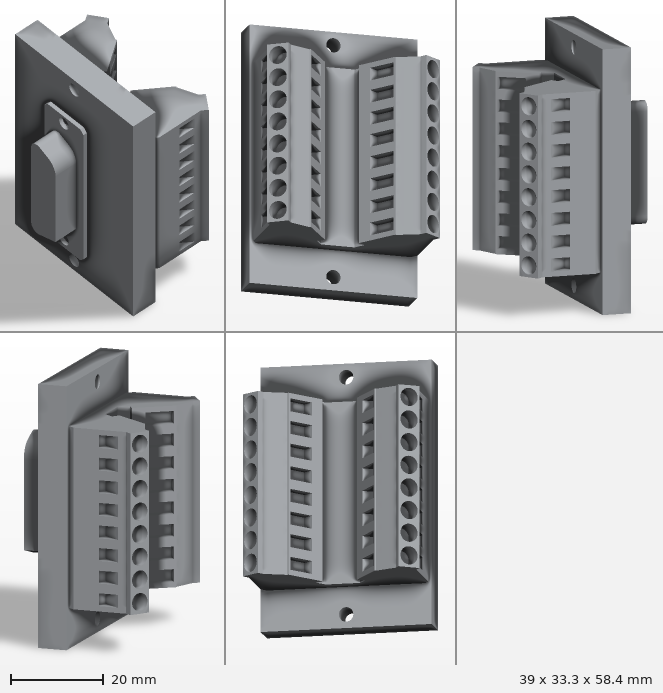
import math

import cadquery as cq


PLATE_WIDTH = 37.8
PLATE_DEPTH = 6.5
PLATE_HEIGHT = 58.4
MOUNT_HOLE_DIAMETER = 3.2
MOUNT_HOLE_SPACING = 52.4

BLOCK_SPAN = 39.0
BLOCK_WIDTH = 37.0
BLOCK_HEIGHT = 40.2
ARM_TILT = 35.0
BASE_CHAMFER_WIDTH = 1.05
BASE_CHAMFER_DEPTH = 1.5
TIP_CORNER_Y = 21.5
TIP_WIDTH = 4.85
TIP_STEP = 1.6
SLOPE_LENGTH = 9.9
SLOPE_TOP_X = 9.5
SLOPE_TOP_Y = 21.1
SHOULDER_LIP = 0.3
HOOK_DEPTH = 1.87
CHANNEL_FLOOR_Y = 9.7

TERMINAL_COUNT = 8
TERMINAL_PITCH = 5.0
BORE_DIAMETER = 4.0
BORE_DEPTH = 5.0
SLOT_HEIGHT = 2.85
SLOT_TOP_Y = 18.2
SLOT_WIDTH = 2.5
SLOT_FLOOR_LENGTH = 4.8
POCKET_OFFSET = 0.5
POCKET_LENGTH = 6.4
POCKET_DEPTH = 2.5

FLANGE_WIDTH = 12.5
FLANGE_HEIGHT = 40.2
FLANGE_THICKNESS = 1.0
FLANGE_GAP = 2.0
FLANGE_CHAMFER = 1.0
FLANGE_HOLE_DIAMETER = 3.1
FLANGE_HOLE_HEIGHTS = (18.0, -17.55)

SHELL_WIDTH = 7.8
SHELL_LENGTH = 9.0
SHELL_TOP = 13.95
SHELL_BOTTOM = -13.15
SHELL_CORNER_RADIUS = 1.95
SHELL_TOP_SLOPE = 24.3
SHELL_BIG_RADIUS = 4.1
SHELL_BOTTOM_SLOPE = 17.0

TILT = math.radians(ARM_TILT)
ACROSS = (math.cos(TILT), math.sin(TILT))
INWARD = (math.sin(TILT), -math.cos(TILT))
TIP_CORNER = (-BLOCK_SPAN / 2, TIP_CORNER_Y)
SLOPE_TOP = (-SLOPE_TOP_X, SLOPE_TOP_Y)


def step(point, direction, distance):
    """Return the point at a signed distance from another one."""
    return (point[0] + direction[0] * distance, point[1] + direction[1] * distance)


def mirror_x(solid):
    return solid.mirror("YZ")


def make_plate():
    plate = cq.Workplane("XY").box(
        PLATE_WIDTH, PLATE_DEPTH, PLATE_HEIGHT, centered=(True, False, True)
    )
    holes = (
        cq.Workplane("XZ")
        .pushPoints([(0, MOUNT_HOLE_SPACING / 2), (0, -MOUNT_HOLE_SPACING / 2)])
        .circle(MOUNT_HOLE_DIAMETER / 2)
        .extrude(-PLATE_DEPTH)
    )
    return plate.cut(holes)


def make_half_block():
    """Left half of the terminal block, from X = 0 outwards."""
    side_x = -BLOCK_WIDTH / 2
    tip_end = step(TIP_CORNER, ACROSS, TIP_WIDTH)
    tip_foot_drop = (side_x - TIP_CORNER[0]) / INWARD[0]
    slope_end = step(SLOPE_TOP, INWARD, SLOPE_LENGTH)
    hook = step(slope_end, ACROSS, -HOOK_DEPTH)
    hook_drop = (CHANNEL_FLOOR_Y - hook[1]) / INWARD[1]
    outline = [
        (0, PLATE_DEPTH),
        (side_x + BASE_CHAMFER_WIDTH, PLATE_DEPTH),
        (side_x, PLATE_DEPTH + BASE_CHAMFER_DEPTH),
        step(TIP_CORNER, INWARD, tip_foot_drop),
        TIP_CORNER,
        tip_end,
        step(tip_end, INWARD, TIP_STEP),
        step(SLOPE_TOP, ACROSS, -SHOULDER_LIP),
        SLOPE_TOP,
        slope_end,
        hook,
        step(hook, INWARD, hook_drop),
        (0, CHANNEL_FLOOR_Y),
    ]
    return (
        cq.Workplane("XY")
        .workplane(offset=-BLOCK_HEIGHT / 2)
        .polyline(outline)
        .close()
        .extrude(BLOCK_HEIGHT)
    )


def make_slot(start, length, depth, height):
    """Box at a terminal's height, square to the tilted arm.

    It runs inward from the start point and reaches outward, away from the
    channel, by the given depth.
    """
    end = step(start, INWARD, length)
    corners = [start, end, step(end, ACROSS, -depth), step(start, ACROSS, -depth)]
    return (
        cq.Workplane("XY")
        .workplane(offset=height - SLOT_HEIGHT / 2)
        .polyline(corners)
        .close()
        .extrude(SLOT_HEIGHT)
    )


def make_terminal_cutter(height):
    """Tip bore, side slot and channel pocket of one terminal of the left arm."""
    bore_center = step(TIP_CORNER, ACROSS, TIP_WIDTH / 2)
    bore_plane = cq.Plane(
        origin=(bore_center[0], bore_center[1], height),
        xDir=(ACROSS[0], ACROSS[1], 0),
        normal=(INWARD[0], INWARD[1], 0),
    )
    bore = cq.Workplane(bore_plane).circle(BORE_DIAMETER / 2).extrude(BORE_DEPTH)

    slot_start = (-BLOCK_WIDTH / 2, SLOT_TOP_Y)
    side_slot = make_slot(slot_start, SLOT_FLOOR_LENGTH, SLOT_WIDTH, height)

    pocket_start = step(SLOPE_TOP, INWARD, POCKET_OFFSET)
    pocket = make_slot(pocket_start, POCKET_LENGTH, POCKET_DEPTH, height)
    return bore.union(side_slot).union(pocket)


def make_block():
    half = make_half_block()
    for index in range(TERMINAL_COUNT):
        height = (index - (TERMINAL_COUNT - 1) / 2) * TERMINAL_PITCH
        half = half.cut(make_terminal_cutter(height))
    return half.union(mirror_x(half))


def make_flange():
    flange = (
        cq.Workplane("XZ")
        .workplane(offset=FLANGE_GAP)
        .rect(FLANGE_WIDTH, FLANGE_HEIGHT)
        .extrude(FLANGE_THICKNESS)
        .edges("|Y")
        .chamfer(FLANGE_CHAMFER)
    )
    holes = (
        cq.Workplane("XZ")
        .workplane(offset=FLANGE_GAP)
        .pushPoints([(0, height) for height in FLANGE_HOLE_HEIGHTS])
        .circle(FLANGE_HOLE_DIAMETER / 2)
        .extrude(FLANGE_THICKNESS)
    )
    return flange.cut(holes)


def make_shell():
    """Connector shell with rounded left corners and a large top right round."""
    left = -SHELL_WIDTH / 2
    right = SHELL_WIDTH / 2
    radius = SHELL_CORNER_RADIUS
    center_x = left + radius
    top_center_z = SHELL_TOP - radius
    bottom_center_z = SHELL_BOTTOM + radius

    top_slope = math.radians(SHELL_TOP_SLOPE)
    top_x = center_x + radius * math.sin(top_slope)
    top_z = top_center_z + radius * math.cos(top_slope)
    bottom_slope = math.radians(SHELL_BOTTOM_SLOPE)
    bottom_x = center_x + radius * math.sin(bottom_slope)
    bottom_z = bottom_center_z - radius * math.cos(bottom_slope)
    bottom_right_z = bottom_z + (right - bottom_x) * math.tan(bottom_slope)

    round_x = right - SHELL_BIG_RADIUS * (1 - math.sin(top_slope))
    round_z = top_z - (round_x - top_x) * math.tan(top_slope)
    round_end_z = round_z - SHELL_BIG_RADIUS * math.cos(top_slope)
    return (
        cq.Workplane("XZ")
        .moveTo(left, bottom_center_z)
        .lineTo(left, top_center_z)
        .radiusArc((top_x, top_z), radius)
        .lineTo(round_x, round_z)
        .radiusArc((right, round_end_z), SHELL_BIG_RADIUS)
        .lineTo(right, bottom_right_z)
        .lineTo(bottom_x, bottom_z)
        .radiusArc((left, bottom_center_z), radius)
        .close()
        .extrude(SHELL_LENGTH)
    )


result = make_plate().union(make_block()).union(make_shell()).union(make_flange())